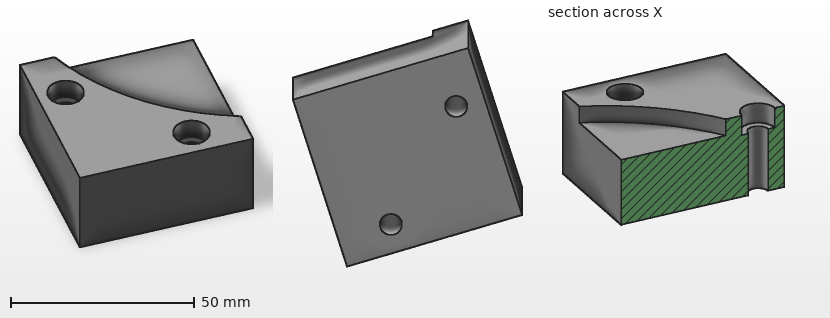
import cadquery as cq
import math

side = 50.0
height = 25.0

recess_depth = 5.0
recess_reach = 40.0
recess_radius = 70.0

hole_diameter = 6.0
counterbore_diameter = 10.0
counterbore_depth = 6.0
hole_near_offset = 8.0
hole_far_offset = 15.0

centre_offset = (math.sqrt(2 * recess_radius**2 - recess_reach**2) - recess_reach) / 2


def make_block():
    return cq.Workplane("XY").box(side, side, height, centered=False)


def make_recess():
    return (
        cq.Workplane("XY", origin=(0, 0, height - recess_depth))
        .center(-centre_offset, side + centre_offset)
        .circle(recess_radius)
        .extrude(recess_depth)
    )


def cut_holes(body):
    positions = [
        (hole_far_offset, hole_near_offset),
        (side - hole_near_offset, side - hole_far_offset),
    ]
    return (
        cq.Workplane("XY", origin=(0, 0, height))
        .add(body.vals())
        .pushPoints(positions)
        .cboreHole(hole_diameter, counterbore_diameter, counterbore_depth)
    )


result = cut_holes(make_block().cut(make_recess()))